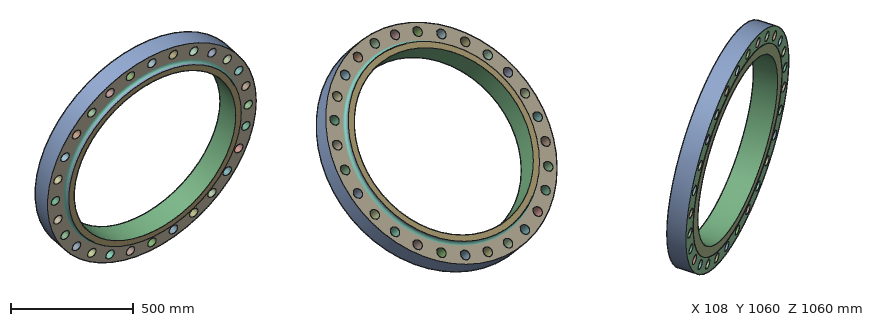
import cadquery as cq

flange_diameter = 1060.0
flange_thickness = 87.0
bore_diameter = 820.0

face_diameter = 914.0
face_height = 1.6

total_length = 108.0
hub_diameter = 876.0
hub_fillet = 12.0

bolt_count = 28
bolt_circle_diameter = 979.0
bolt_hole_diameter = 42.0


def disc(diameter, start, end):
    """Solid disc on the X axis between two X positions."""
    return cq.Workplane("YZ").workplane(offset=start).circle(diameter / 2).extrude(end - start)


def hub_root_ring():
    """Revolved ring with a concave fillet joining the hub to the flange back."""
    hub_radius = hub_diameter / 2
    fillet_end = flange_thickness + hub_fillet
    arc_drop = hub_fillet * (1 - 0.5 ** 0.5)
    return (
        cq.Workplane("XY")
        .moveTo(flange_thickness, bore_diameter / 2)
        .lineTo(flange_thickness, hub_radius + hub_fillet)
        .threePointArc(
            (flange_thickness + arc_drop, hub_radius + arc_drop),
            (fillet_end, hub_radius),
        )
        .lineTo(fillet_end, bore_diameter / 2)
        .close()
        .revolve(360, (0, 0, 0), (1, 0, 0))
    )


def bolt_holes():
    """Ring of through holes, the first one on the Y axis."""
    return (
        cq.Workplane("YZ")
        .polarArray(bolt_circle_diameter / 2, 0, 360, bolt_count)
        .circle(bolt_hole_diameter / 2)
        .extrude(total_length)
    )


body = (
    disc(face_diameter, 0, face_height)
    .union(disc(flange_diameter, face_height, flange_thickness))
    .union(disc(hub_diameter, flange_thickness, total_length))
    .union(hub_root_ring())
)

result = body.cut(disc(bore_diameter, 0, total_length)).cut(bolt_holes())